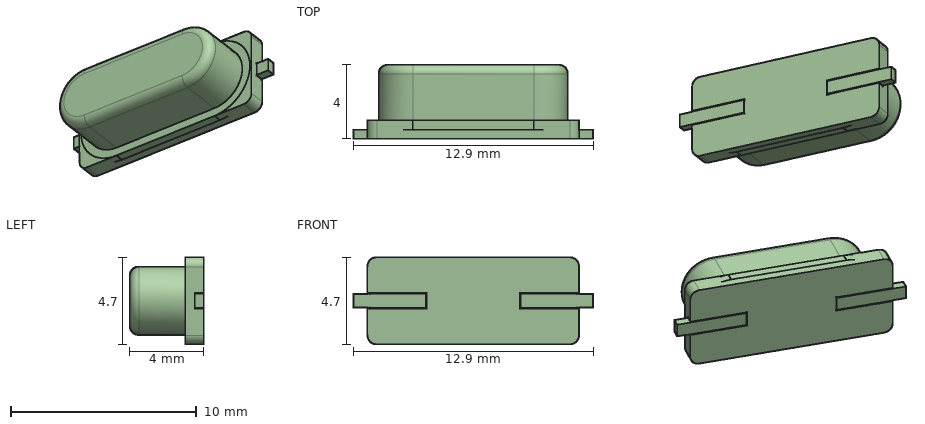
import cadquery as cq

overall_length = 12.9
overall_depth = 4.0

base_length = 11.4
base_height = 4.7
base_thickness = 1.0
base_corner_radius = 0.5

can_straight_length = 6.5
can_height = 3.69
can_top_fillet = 0.5
flange_thickness = base_thickness / 2

lead_width = 0.75
lead_inner_end = 2.55
lead_clearance = 0.05
lead_thickness = base_thickness - flange_thickness


def block(length, height, thickness, start_y):
    """Box centred on X and Z that runs along +Y from start_y."""
    return cq.Workplane("XY").box(length, thickness, height, centered=(True, False, True)).translate(
        (0, start_y, 0)
    )


def stadium(height, thickness, start_y):
    """Round-ended plate around the straight length of the can, extruded along +Y from start_y."""
    return (
        cq.Workplane("XZ", origin=(0, start_y, 0))
        .slot2D(can_straight_length + height, height)
        .extrude(-thickness)
    )


def lead_bar(side, clearance=0.0):
    """Bar of one lead, or of its slot when a clearance is added at the sides and inner end."""
    inner_end = lead_inner_end - clearance
    outer_end = overall_length / 2
    bar = block(outer_end - inner_end, lead_width + 2 * clearance, lead_thickness, 0)
    return bar.translate((side * (inner_end + outer_end) / 2, 0, 0))


def make_flange():
    """Flange as tall as the base, flush with the upper face of the base."""
    return stadium(base_height, flange_thickness, lead_thickness)


def make_can():
    """Can with its flange, and both leads joined to the underside of the flange."""
    can = stadium(can_height, overall_depth - lead_thickness, lead_thickness)
    can = can.faces(">Y").edges().fillet(can_top_fillet)
    can = can.union(make_flange())
    for side in (-1, 1):
        can = can.union(lead_bar(side))
    return can


def make_base():
    """Rounded base plate with a recess for the flange and an open-ended slot for each lead."""
    base = block(base_length, base_height, base_thickness, 0)
    base = base.edges("|Y").fillet(base_corner_radius)
    base = base.cut(make_flange())
    for side in (-1, 1):
        base = base.cut(lead_bar(side, lead_clearance))
    return base


can = make_can()
base = make_base()

result = cq.Compound.makeCompound([can.solids().val(), base.solids().val()])